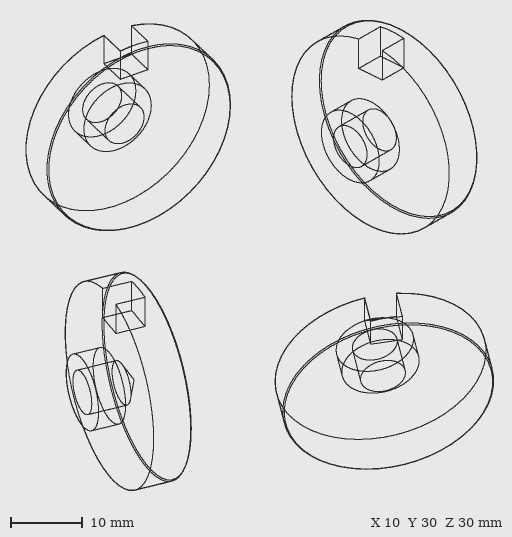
import cadquery as cq
import math

disc_diameter = 30.0
total_length = 10.0
hub_diameter = 11.0
hub_length = 4.15
rim_chamfer = 0.18

hole_diameter = 6.4
hole_depth = 6.0
drill_point_angle = 118.0

notch_width = 4.5
notch_depth = 5.0
notch_length = 4.45

disc_radius = disc_diameter / 2
hub_radius = hub_diameter / 2
hole_radius = hole_diameter / 2
drill_point_length = hole_radius / math.tan(math.radians(drill_point_angle / 2))


def turn(profile_points):
    """Revolve a closed (X, radius) outline about the X axis."""
    return cq.Workplane("XY").polyline(profile_points).close().revolve(360, (0, 0, 0), (1, 0, 0))


def make_body():
    """Disc with hub and a small chamfer on the far rim."""
    return turn([
        (0, 0),
        (0, hub_radius),
        (hub_length, hub_radius),
        (hub_length, disc_radius),
        (total_length - rim_chamfer, disc_radius),
        (total_length, disc_radius - rim_chamfer),
        (total_length, 0),
    ])


def make_hole():
    """Straight bore ending in a conical drill point."""
    return turn([
        (0, 0),
        (0, hole_radius),
        (hole_depth, hole_radius),
        (hole_depth + drill_point_length, 0),
    ])


def make_notch():
    """Block removed from the top of the disc."""
    return (
        cq.Workplane("XY")
        .box(notch_length, notch_width, notch_depth, centered=(False, True, False))
        .translate((hub_length, 0, disc_radius - notch_depth))
    )


result = make_body().cut(make_hole()).cut(make_notch())